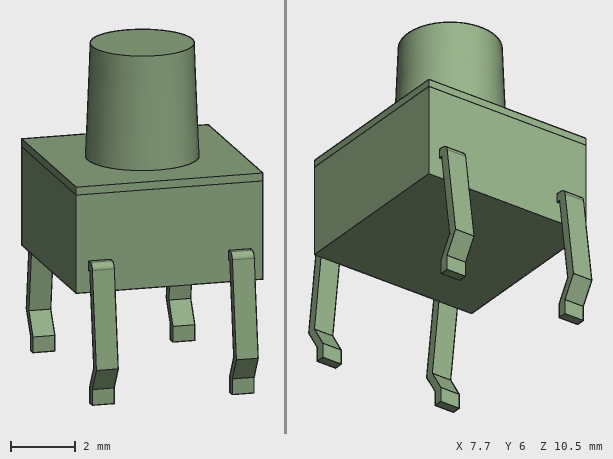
import cadquery as cq
import math

housing_side = 6.0
housing_bottom = 3.5
cover_top = 6.89
cover_thickness = 0.25
cover_bottom = cover_top - cover_thickness

button_top = 10.5
button_base_radius = 1.75
button_top_radius = 1.61

overall_span = 7.7
lead_thickness = 0.3
lead_width = 0.7
lead_pitch = 4.49
lead_top = 4.5
shoulder_x = 3.38
knee_x = overall_span / 2
knee_z = 1.23
foot_x = 3.4
foot_top = 0.5
shoulder_radius = 0.23


def make_lead_profile():
    """Outline of one +X lead in the XZ plane, starting at the housing wall."""
    wall_x = housing_side / 2
    shoulder_bottom = lead_top - lead_thickness
    leg_angle = math.atan2(knee_x - shoulder_x, lead_top - knee_z)
    leg_width = lead_thickness / math.cos(leg_angle)
    inner_shoulder_x = shoulder_x - leg_width + lead_thickness * math.tan(leg_angle)
    return (
        cq.Workplane("XZ")
        .moveTo(wall_x, lead_top)
        .lineTo(shoulder_x, lead_top)
        .lineTo(knee_x, knee_z)
        .lineTo(foot_x, foot_top)
        .lineTo(foot_x, 0)
        .lineTo(foot_x - lead_thickness, 0)
        .lineTo(foot_x - lead_thickness, foot_top)
        .lineTo(knee_x - leg_width, knee_z)
        .lineTo(inner_shoulder_x, shoulder_bottom)
        .lineTo(wall_x, shoulder_bottom)
        .close()
    )


def make_lead():
    """One +X lead centred on Y = 0, with its outer shoulder rounded."""
    lead = make_lead_profile().extrude(lead_width / 2, both=True)
    shoulder_edge = cq.selectors.NearestToPointSelector((shoulder_x, 0, lead_top))
    return lead.edges("|Y").edges(shoulder_edge).fillet(shoulder_radius)


def make_housing():
    """Housing block in one piece with its four leads."""
    housing = (
        cq.Workplane("XY", origin=(0, 0, housing_bottom))
        .rect(housing_side, housing_side)
        .extrude(cover_bottom - housing_bottom)
    )
    right_lead = make_lead()
    left_lead = right_lead.mirror("YZ")
    for lead in (right_lead, left_lead):
        for y in (-lead_pitch / 2, lead_pitch / 2):
            housing = housing.union(lead.translate((0, y, 0)))
    return housing


def make_cover():
    """Thin square plate closing the top of the housing."""
    return (
        cq.Workplane("XY", origin=(0, 0, cover_bottom))
        .rect(housing_side, housing_side)
        .extrude(cover_thickness)
    )


def make_button():
    """Round plunger that narrows toward its flat top."""
    return (
        cq.Workplane("XY", origin=(0, 0, cover_top))
        .circle(button_base_radius)
        .workplane(offset=button_top - cover_top)
        .circle(button_top_radius)
        .loft(ruled=True)
    )


housing = make_housing()
cover = make_cover()
button = make_button()

result = cq.Compound.makeCompound([housing.val(), cover.val(), button.val()])